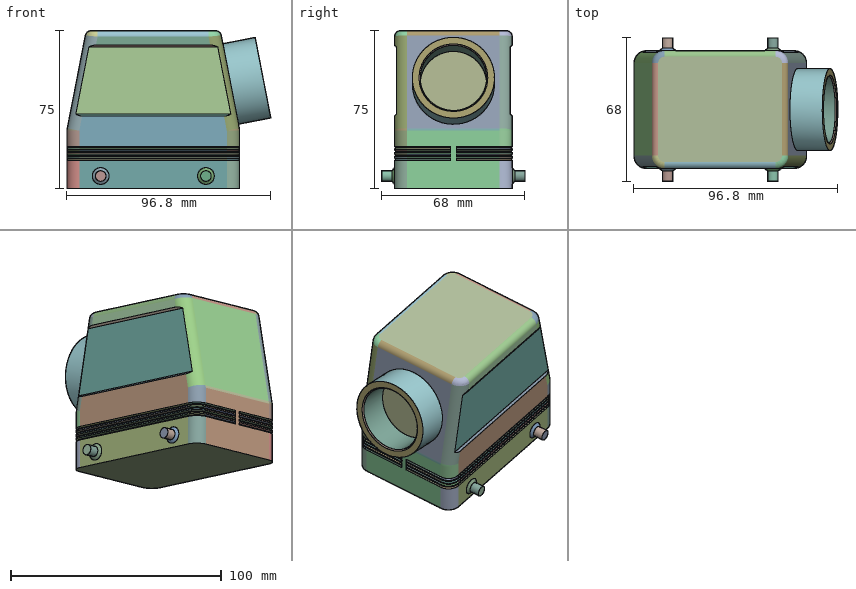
import cadquery as cq
import math

body_length = 82.0
body_width = 55.9
body_height = 75.0
bend_height = 28.0
slope_angle = math.radians(11)
bend_radius = 6.0
corner_radius = 6.0
top_fillet = 3.0

recess_depth = 1.0
recess_low = 34.4
recess_high = 68.1
recess_chamfer = 1.0

groove_count = 4
groove_span = 5.4
groove_height = 1.2
groove_depth = 0.6
lowest_groove = 14.0
groove_gap = 2.7

peg_spacing = 49.9
peg_z = 6.0
peg_diameter = 5.0
peg_span = 68.0
cone_diameter = 7.9
cone_height = 1.2

overall_length = 96.8
outlet_mouth_z = 52.6
outlet_diameter = 39.0
bore_diameter = 31.4
bore_chamfer = 0.6
joint_overlap = 1.9

groove_pitch = groove_span / (groove_count - 1)
half_length = body_length / 2
half_width = body_width / 2
top_half_length = half_length - (body_height - bend_height) * math.tan(slope_angle)
peg_tip_y = peg_span / 2
outlet_radius = outlet_diameter / 2
mouth_x = overall_length - half_length - outlet_radius * math.sin(slope_angle)
outlet_length = (
    (mouth_x - half_length) * math.cos(slope_angle)
    + (outlet_mouth_z - bend_height) * math.sin(slope_angle)
)


def make_body():
    """Tapered block with softened bends, rounded corners and a rounded top rim."""
    outline = [
        (-half_length, 0),
        (half_length, 0),
        (half_length, bend_height),
        (top_half_length, body_height),
        (-top_half_length, body_height),
        (-half_length, bend_height),
    ]
    block = cq.Workplane("XZ").polyline(outline).close().extrude(half_width, both=True)
    for bend_x in (-half_length, half_length):
        bend = cq.selectors.NearestToPointSelector((bend_x, 0, bend_height))
        block = block.edges("|Y").edges(bend).fillet(bend_radius)
    block = block.faces("<Y or >Y").edges("not |X").fillet(corner_radius)
    return block.faces(">Z").edges().fillet(top_fillet)


def make_recess(side):
    """Cutter for the recess on one long side (side is -1 or +1), with chamfered ledges."""
    outer = side * half_width
    floor = side * (half_width - recess_depth)
    section = [
        (outer, recess_low),
        (floor, recess_low + recess_chamfer),
        (floor, recess_high - recess_chamfer),
        (outer, recess_high),
    ]
    return cq.Workplane("YZ").polyline(section).close().extrude(half_length, both=True)


def make_groove(z):
    """V-shaped ring cutter around the waist, centred at height z, open at both end walls."""
    half_height = groove_height / 2
    taper = math.degrees(math.atan2(groove_depth, half_height))
    outline = cq.Sketch().rect(body_length, body_width).vertices().fillet(corner_radius)
    lower_core = cq.Workplane("XY").placeSketch(outline).extrude(half_height, taper=taper)
    core = lower_core.translate((0, 0, -half_height))
    core = core.union(core.mirror("XY"))
    bridge = cq.Workplane("XY").box(2 * body_length, groove_gap, groove_height)
    slab = cq.Workplane("XY").box(2 * body_length, 2 * body_width, groove_height)
    return slab.cut(core).cut(bridge).translate((0, 0, z))


def make_peg(x, side):
    """Locking peg with a conical foot on one long side (side is -1 or +1)."""
    half_profile = [
        (0, 0),
        (cone_diameter / 2, 0),
        (cone_diameter / 2, half_width),
        (peg_diameter / 2, half_width + cone_height),
        (peg_diameter / 2, peg_tip_y),
        (0, peg_tip_y),
    ]
    peg = cq.Workplane("XY").polyline(half_profile).close().revolve(360, (0, 0, 0), (0, 1, 0))
    if side < 0:
        peg = peg.mirror("XZ")
    return peg.translate((x, 0, peg_z))


def mouth_plane():
    """Plane of the outlet mouth, its normal pointing out along the outlet axis."""
    return cq.Plane(
        origin=(mouth_x, 0, outlet_mouth_z),
        xDir=(0, 1, 0),
        normal=(math.cos(slope_angle), 0, math.sin(slope_angle)),
    )


def make_outlet():
    """Round outlet pipe, running a little way into the end wall for a sound joint."""
    pipe_length = outlet_length + joint_overlap
    return cq.Workplane(mouth_plane()).circle(outlet_radius).extrude(-pipe_length)


def make_bore():
    """Blind bore of the outlet with a chamfered mouth, ending at the end wall."""
    bore_radius = bore_diameter / 2
    mouth_radius = bore_radius + bore_chamfer
    half_profile = [
        (0, 0),
        (mouth_radius, 0),
        (bore_radius, -bore_chamfer),
        (bore_radius, -outlet_length),
        (0, -outlet_length),
    ]
    return (
        cq.Workplane(mouth_plane())
        .transformed(rotate=(90, 0, 0))
        .polyline(half_profile)
        .close()
        .revolve(360, (0, 0, 0), (0, 1, 0))
    )


result = make_body()

for side in (-1, 1):
    result = result.cut(make_recess(side))

for index in range(groove_count):
    result = result.cut(make_groove(lowest_groove + index * groove_pitch))

for side in (-1, 1):
    for x in (-peg_spacing / 2, peg_spacing / 2):
        result = result.union(make_peg(x, side))

result = result.union(make_outlet()).cut(make_bore())